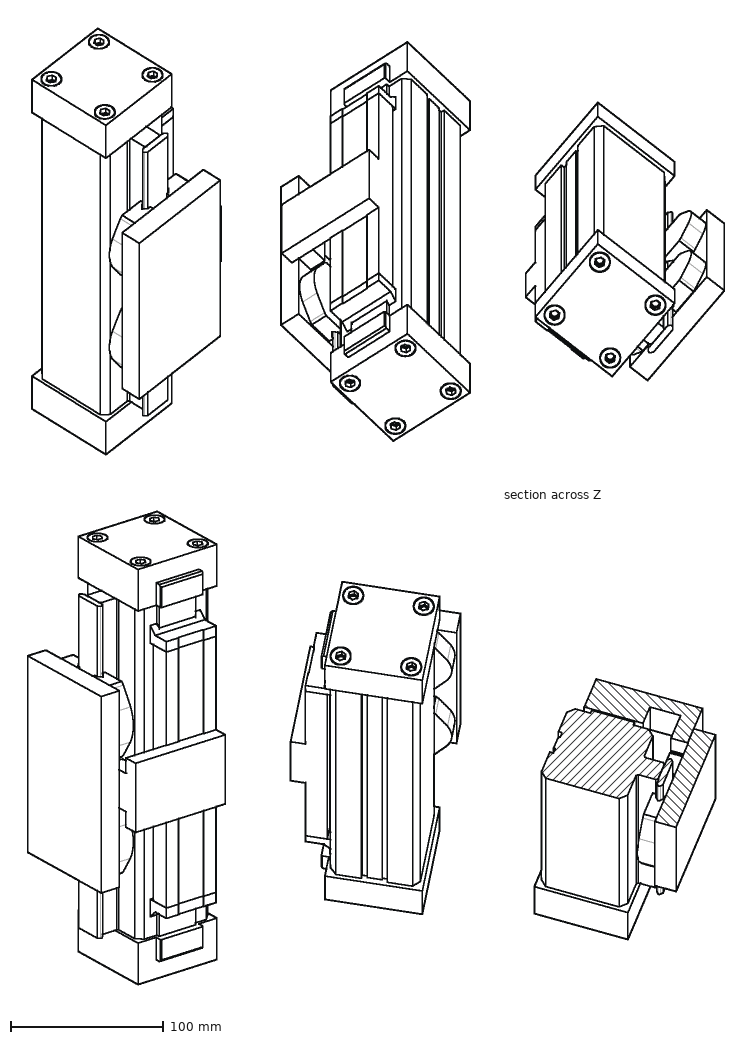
import cadquery as cq
import math


total_length = 300.0
cap_length = 30.0
cap_width = 65.0
profile_length = total_length - 2 * cap_length
profile_half = 30.0
profile_chamfer = 4.5
cap_inner_z = profile_length / 2
cap_face = cap_width / 2

ridge_width = 30.0
ridge_top_y = 32.4

groove_width = 17.2
groove_depth = 2.5
groove_island_width = 10.0
groove_island_height = 1.2

screw_spacing = 47.0
head_diameter = 13.0
head_seat_diameter = 13.5
head_gap_depth = 1.0
socket_flats = 6.0
socket_corners = socket_flats / math.cos(math.pi / 6)
socket_depth = 4.0
socket_drill_diameter = 4.92
socket_drill_depth = 1.0

clamp_width = 35.2
clamp_length = 16.2
clamp_top_y = 37.5
clamp_end_chamfer = 1.5
clamp_side_chamfer = 0.7

carriage_width = 41.0
carriage_half_length = 92.5
carriage_bottom_y = 33.0
carriage_top_y = 47.5
key_width = 20.5
key_depth = 0.5
cover_end_z = 100.0
cover_toe = 5.2
arm_length_z = 50.0
arm_thickness = 10.5
arm_bottom_y = carriage_top_y - key_depth
arm_top_y = arm_bottom_y + arm_thickness
leg_width = 12.0
leg_length_z = 27.6
leg_end_y = 27.5

rail_foot_x = 31.0
rail_foot_half = 8.5
rail_stem_half = 7.5
rail_stem_chamfer = 1.4
rail_x = 44.7
rail_thickness = 4.4
rail_flat_half = 10.0
rail_half = 12.4
rail_tip_radius = 1.0

plate_width = 80.0
plate_length = 142.0
plate_thickness = 15.0
plate_x = 53.5
pad_thickness = 12.2
pad_spacing = 84.0
pad_inner_y = 8.1
pad_flat_y = 26.3
pad_half_length = 27.3
pad_corner = 1.8
pad_slope_y = 36.0
pad_arc_half = 12.7
pad_outer_y = 39.0
pad_rail_clearance = 0.6


def box(x_range, y_range, z_range):
    """Box between the given limits along each axis."""
    size = [high - low for low, high in (x_range, y_range, z_range)]
    corner = (x_range[0], y_range[0], z_range[0])
    return cq.Workplane("XY").box(*size, centered=False).translate(corner)


def mirrored_in_z(shape):
    """Copy of the shape at the opposite end of the cylinder."""
    return shape.mirror("XY")


def make_rail_support():
    """Tapered foot and stem on the +X face of the profile that carry the guide rail."""
    upper_outline = [
        (profile_half, rail_foot_half),
        (rail_foot_x, rail_stem_half),
        (rail_x - rail_stem_chamfer, rail_stem_half),
        (rail_x, rail_stem_half - rail_stem_chamfer),
    ]
    lower_outline = [(x, -y) for x, y in reversed(upper_outline)]
    outline = cq.Workplane("XY").polyline(upper_outline + lower_outline).close()
    return outline.extrude(cap_inner_z, both=True)


def make_profile():
    """Extruded cylinder barrel with chamfered corners, band ridge, side groove and rail support."""
    z_range = (-cap_inner_z, cap_inner_z)
    barrel = cq.Workplane("XY").box(2 * profile_half, 2 * profile_half, profile_length)
    barrel = barrel.edges("|Z").chamfer(profile_chamfer)
    ridge = box((-ridge_width / 2, ridge_width / 2), (0, ridge_top_y), z_range)
    groove_floor = -profile_half + groove_depth
    groove = box((-profile_half, groove_floor), (-groove_width / 2, groove_width / 2), z_range)
    island = box(
        (groove_floor - groove_island_height, groove_floor),
        (-groove_island_width / 2, groove_island_width / 2),
        z_range,
    )
    return barrel.union(ridge).cut(groove).union(island).union(make_rail_support())


def make_top_cap():
    """End cap with band clamp and four flush screw heads on its end face."""
    end_z = total_length / 2
    cap = box((-cap_face, cap_face), (-cap_face, cap_face), (cap_inner_z, end_z))
    clamp = box(
        (-clamp_width / 2, clamp_width / 2),
        (0, clamp_top_y),
        (cap_inner_z, cap_inner_z + clamp_length),
    )
    clamp = clamp.edges(">Y and |Z").chamfer(clamp_side_chamfer)
    clamp = clamp.edges(">Y and >Z").chamfer(clamp_end_chamfer)
    end_face = cq.Workplane("XY", origin=(0, 0, end_z)).rarray(screw_spacing, screw_spacing, 2, 2)
    head_gap = end_face.circle(head_seat_diameter / 2).circle(head_diameter / 2).extrude(-head_gap_depth)
    socket = end_face.polygon(6, socket_corners).extrude(-socket_depth)
    drill = end_face.circle(socket_drill_diameter / 2).extrude(-socket_depth - socket_drill_depth)
    return cap.union(clamp).cut(head_gap).cut(socket).cut(drill)


def make_carriage():
    """Carriage block with the arm that reaches over the rail and the leg that drives the guide plate."""
    left_x = -carriage_width / 2
    half_arm = arm_length_z / 2
    half_leg = leg_length_z / 2
    block = box(
        (left_x, -left_x),
        (carriage_bottom_y, carriage_top_y),
        (-carriage_half_length, carriage_half_length),
    )
    keyway = box(
        (-key_width / 2, key_width / 2),
        (arm_bottom_y, carriage_top_y),
        (-carriage_half_length, carriage_half_length),
    )
    arm = box((left_x, plate_x), (arm_bottom_y, arm_top_y), (-half_arm, half_arm))
    leg = box((plate_x - leg_width, plate_x), (leg_end_y, arm_top_y), (-half_leg, half_leg))
    return block.cut(keyway).union(arm).union(leg)


def make_top_cover():
    """Carriage end cover resting on the profile, with a sloped toe and a keyway like the carriage's."""
    outline = [
        (profile_half, carriage_half_length),
        (carriage_top_y, carriage_half_length),
        (carriage_top_y, cover_end_z),
        (profile_half + cover_toe, cover_end_z),
        (profile_half, cover_end_z + cover_toe),
    ]
    cover = cq.Workplane("YZ").polyline(outline).close().extrude(carriage_width / 2, both=True)
    z_range = (carriage_half_length, cover_end_z + cover_toe)
    ridge_notch = box((-ridge_width / 2, ridge_width / 2), (profile_half, ridge_top_y), z_range)
    keyway = box((-key_width / 2, key_width / 2), (arm_bottom_y, carriage_top_y), z_range)
    return cover.cut(ridge_notch).cut(keyway)


def rail_outline():
    """Cross-section of the flat rail with a V-shaped running edge on both sides."""
    middle_x = rail_x + rail_thickness / 2
    back_x = rail_x + rail_thickness
    outline = [
        (rail_x, -rail_flat_half),
        (middle_x, -rail_half),
        (back_x, -rail_flat_half),
        (back_x, rail_flat_half),
        (middle_x, rail_half),
        (rail_x, rail_flat_half),
    ]
    return cq.Workplane("XY").polyline(outline).close()


def make_rail():
    """Guide rail with rounded running edges, lying on the stem of the profile."""
    rail = rail_outline().extrude(cap_inner_z, both=True)
    return rail.edges("|Z and (>Y or <Y)").fillet(rail_tip_radius)


def make_pad():
    """Roller pad on the +Y side: straight inner edge, sloped flanks and a rounded outer edge."""
    return (
        cq.Workplane("YZ", origin=(plate_x - pad_thickness, 0, 0))
        .moveTo(pad_inner_y, -pad_half_length)
        .lineTo(pad_flat_y, -pad_half_length)
        .lineTo(pad_flat_y + pad_corner, -pad_half_length + pad_corner)
        .lineTo(pad_slope_y, -pad_arc_half)
        .threePointArc((pad_outer_y, 0), (pad_slope_y, pad_arc_half))
        .lineTo(pad_flat_y + pad_corner, pad_half_length - pad_corner)
        .lineTo(pad_flat_y, pad_half_length)
        .lineTo(pad_inner_y, pad_half_length)
        .close()
        .extrude(pad_thickness)
    )


def make_guide_plate():
    """Guide plate with four roller pads that straddle the rail."""
    half_y = plate_width / 2
    half_z = plate_length / 2
    plate = box((plate_x, plate_x + plate_thickness), (-half_y, half_y), (-half_z, half_z))
    for z in (-pad_spacing / 2, pad_spacing / 2):
        pad = make_pad().translate((0, 0, z))
        plate = plate.union(pad).union(pad.mirror("XZ"))
    rail_channel = rail_outline().offset2D(pad_rail_clearance).extrude(half_z, both=True)
    return plate.cut(rail_channel)


profile = make_profile()
top_cap = make_top_cap()
bottom_cap = mirrored_in_z(top_cap)
carriage = make_carriage()
top_cover = make_top_cover()
bottom_cover = mirrored_in_z(top_cover)
rail = make_rail()
guide_plate = make_guide_plate()

bodies = [profile, top_cap, bottom_cap, carriage, top_cover, bottom_cover, rail, guide_plate]
result = cq.Compound.makeCompound([body.val() for body in bodies])